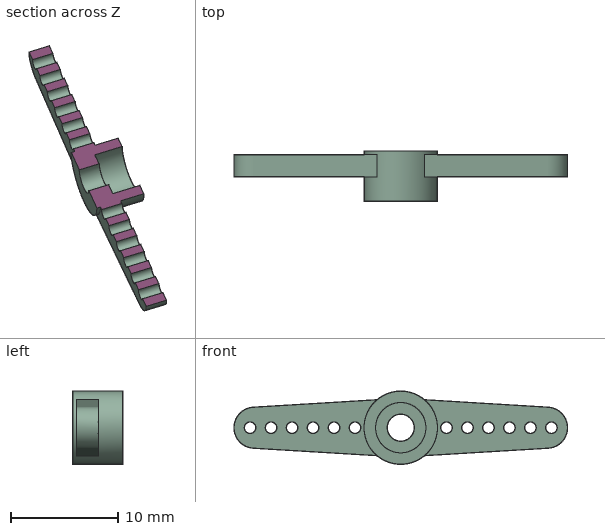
import cadquery as cq
import math

hub_diameter = 6.86
hub_length = 4.71
socket_diameter = 4.7
socket_depth = 2.7
screw_hole_diameter = 2.5

arm_span = 31.17
arm_thickness = 2.06
arm_back_inset = 0.35
tip_radius = 1.93
waist_half_height = 2.66
waist_reach = 1.6

arm_hole_diameter = 1.05
arm_hole_count = 6
arm_hole_pitch = 1.96
first_arm_hole = 4.27

hub_front = 0.0
hub_back = hub_front + hub_length
arm_back = hub_back - arm_back_inset
arm_front = arm_back - arm_thickness
tip_centre = arm_span / 2 - tip_radius


def cylinder_along_y(diameter, start_y, end_y, x=0.0):
    """Cylinder parallel to Y, spanning start_y to end_y at the given X."""
    axis_start = cq.Vector(x, start_y, 0)
    return cq.Workplane(
        cq.Solid.makeCylinder(diameter / 2, end_y - start_y, axis_start, cq.Vector(0, 1, 0))
    )


def make_arms():
    """Both arms as one plate, each tapering from the hub to a tangent round tip."""
    run = tip_centre - waist_reach
    distance = math.hypot(run, waist_half_height)
    tangent_angle = math.atan2(waist_half_height, -run) - math.acos(tip_radius / distance)
    tangent_x = tip_centre + tip_radius * math.cos(tangent_angle)
    tangent_z = tip_radius * math.sin(tangent_angle)

    outline = (
        cq.Workplane("XZ", origin=(0, arm_back, 0))
        .moveTo(-waist_reach, waist_half_height)
        .lineTo(waist_reach, waist_half_height)
        .lineTo(tangent_x, tangent_z)
        .threePointArc((arm_span / 2, 0), (tangent_x, -tangent_z))
        .lineTo(waist_reach, -waist_half_height)
        .lineTo(-waist_reach, -waist_half_height)
        .lineTo(-tangent_x, -tangent_z)
        .threePointArc((-arm_span / 2, 0), (-tangent_x, tangent_z))
        .close()
    )
    return outline.extrude(arm_thickness)


def drill_arm_holes(body):
    """Evenly spaced through holes along both arms."""
    for side in (-1, 1):
        for index in range(arm_hole_count):
            hole_x = side * (first_arm_hole + index * arm_hole_pitch)
            body = body.cut(cylinder_along_y(arm_hole_diameter, arm_front, arm_back, hole_x))
    return body


def bore_hub(body):
    """Socket from the front face, then a smaller screw hole through to the back."""
    socket = cylinder_along_y(socket_diameter, hub_front, hub_front + socket_depth)
    screw_hole = cylinder_along_y(screw_hole_diameter, hub_front, hub_back)
    return body.cut(socket).cut(screw_hole)


hub = cylinder_along_y(hub_diameter, hub_front, hub_back)
result = bore_hub(drill_arm_holes(make_arms().union(hub)))